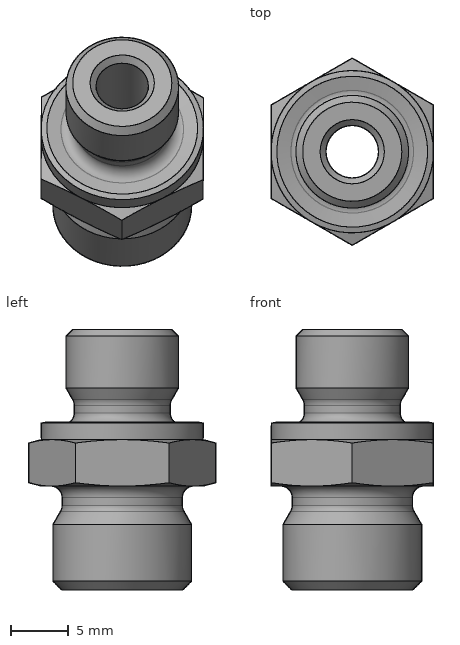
import cadquery as cq
import math

height = 22.5
bore_dia = 4.5
bore_countersink = 0.52

upper_dia = 9.72
upper_chamfer = 0.58
upper_thread_end = 17.44
upper_neck_dia = 8.3
upper_neck_bottom = 15.28

lower_dia = 12.0
lower_chamfer = 0.79
lower_thread_end = 5.65
lower_neck_dia = 10.4

across_flats = 14.0
hex_bottom = 8.98
hex_top = 12.98
hex_chamfer_angle = math.radians(15)
collar_edge_height = 14.4
rim_height = 14.51
rim_dia = 13.0
seal_angle = math.radians(8.5)

relief_angle = math.radians(30)
fillet_radius = 1.0

hex_radius = across_flats / 2
corner_radius = hex_radius / math.cos(math.radians(30))
chamfer_drop = (corner_radius - hex_radius) * math.tan(hex_chamfer_angle)


def arc_point(center, angle):
    """Point (radius, height) on an undercut fillet about center."""
    return (
        center[0] + fillet_radius * math.cos(angle),
        center[1] + fillet_radius * math.sin(angle),
    )


def relief_height(thread_radius, neck_radius):
    """Axial distance from the thread end to where the neck becomes straight."""
    cone = (thread_radius - neck_radius) / math.tan(relief_angle)
    return cone + fillet_radius * math.tan(relief_angle / 2)


def make_lower_end():
    """Lower thread, run-out cone and neck filleted into the hexagon."""
    radius = lower_dia / 2
    neck = lower_neck_dia / 2
    center_radius = neck + fillet_radius
    relief_center = (center_radius, lower_thread_end + relief_height(radius, neck))
    root_center = (center_radius, hex_bottom - fillet_radius)
    return (
        cq.Workplane("XZ")
        .moveTo(0, 0)
        .lineTo(radius - lower_chamfer, 0)
        .lineTo(radius, lower_chamfer)
        .lineTo(radius, lower_thread_end)
        .lineTo(*arc_point(relief_center, math.pi + relief_angle))
        .threePointArc(
            arc_point(relief_center, math.pi + relief_angle / 2),
            arc_point(relief_center, math.pi),
        )
        .lineTo(neck, root_center[1])
        .threePointArc(
            arc_point(root_center, math.pi * 3 / 4),
            arc_point(root_center, math.pi / 2),
        )
        .lineTo(0, hex_bottom)
        .close()
        .revolve(360, (0, 0), (0, 1))
    )


def make_upper_end():
    """Collar with dished sealing face, neck, run-out cone and upper thread."""
    radius = upper_dia / 2
    neck = upper_neck_dia / 2
    center_radius = neck + fillet_radius
    root_center = (center_radius, upper_neck_bottom)
    relief_center = (center_radius, upper_thread_end - relief_height(radius, neck))
    root_end = math.pi * 3 / 2 + seal_angle
    return (
        cq.Workplane("XZ")
        .moveTo(0, hex_top)
        .lineTo(hex_radius, hex_top)
        .lineTo(hex_radius, collar_edge_height)
        .lineTo(rim_dia / 2, rim_height)
        .lineTo(*arc_point(root_center, root_end))
        .threePointArc(
            arc_point(root_center, (math.pi + root_end) / 2),
            arc_point(root_center, math.pi),
        )
        .lineTo(neck, relief_center[1])
        .threePointArc(
            arc_point(relief_center, math.pi - relief_angle / 2),
            arc_point(relief_center, math.pi - relief_angle),
        )
        .lineTo(radius, upper_thread_end)
        .lineTo(radius, height - upper_chamfer)
        .lineTo(radius - upper_chamfer, height)
        .lineTo(0, height)
        .close()
        .revolve(360, (0, 0), (0, 1))
    )


def make_hexagon():
    """Hexagon with corners on the Y axis, both ends turned to a shallow cone."""
    prism = (
        cq.Workplane("XY", origin=(0, 0, hex_bottom))
        .polygon(6, 2 * corner_radius)
        .extrude(hex_top - hex_bottom)
        .rotate((0, 0, 0), (0, 0, 1), 30)
    )
    turned_envelope = (
        cq.Workplane("XZ")
        .moveTo(0, hex_bottom)
        .lineTo(hex_radius, hex_bottom)
        .lineTo(corner_radius, hex_bottom + chamfer_drop)
        .lineTo(corner_radius, hex_top - chamfer_drop)
        .lineTo(hex_radius, hex_top)
        .lineTo(0, hex_top)
        .close()
        .revolve(360, (0, 0), (0, 1))
    )
    return prism.intersect(turned_envelope)


def make_bore():
    """Through bore with a countersunk upper mouth."""
    radius = bore_dia / 2
    return (
        cq.Workplane("XZ")
        .moveTo(0, 0)
        .lineTo(radius, 0)
        .lineTo(radius, height - bore_countersink)
        .lineTo(radius + bore_countersink, height)
        .lineTo(0, height)
        .close()
        .revolve(360, (0, 0), (0, 1))
    )


result = make_lower_end().union(make_hexagon()).union(make_upper_end()).cut(make_bore())